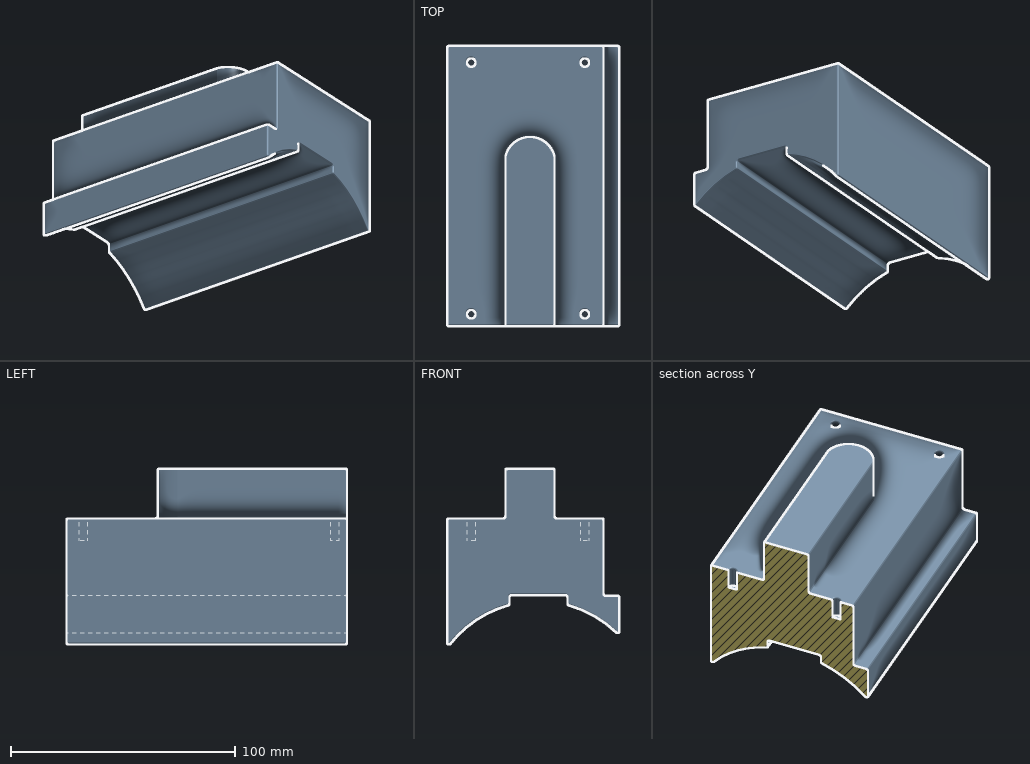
import cadquery as cq
import math

LENGTH = 125.0
WIDTH = 76.74
HEIGHT = 78.42
EDGE_RADIUS = 0.85

BODY_WIDTH = 69.7
BODY_TOP = 56.25
LEDGE_TOP = 21.8

SADDLE_RADIUS = 50.0
SADDLE_X = 40.7
GROOVE_WIDTH = 25.8
GROOVE_TOP = 21.9

BLOCK_WIDTH = 22.0
BLOCK_X = 36.9
BLOCK_STRAIGHT = 75.5
BLOCK_END = 84.4

NOSE_SEAM_RADIUS = 0.1

HOLE_DIAMETER = 3.8
HOLE_DEPTH = 10.0
HOLE_X = (10.75, 61.35)
HOLE_FRONT_MARGIN = 5.4
HOLE_BACK_MARGIN = 7.5
HOLE_Y = (HOLE_FRONT_MARGIN, LENGTH - HOLE_BACK_MARGIN)

SADDLE_Z = EDGE_RADIUS - math.sqrt((SADDLE_RADIUS + EDGE_RADIUS) ** 2 - (SADDLE_X - EDGE_RADIUS) ** 2)


def saddle_height(x):
    """Height of the saddle surface above the base level."""
    return SADDLE_Z + math.sqrt(SADDLE_RADIUS**2 - (x - SADDLE_X) ** 2)


def make_body():
    """Constant section run along Y, with sharp edges."""
    groove_left = SADDLE_X - GROOVE_WIDTH / 2
    groove_right = SADDLE_X + GROOVE_WIDTH / 2

    def saddle_arc(sketch, x_start, x_end):
        x_mid = (x_start + x_end) / 2
        return sketch.threePointArc((x_mid, saddle_height(x_mid)), (x_end, saddle_height(x_end)))

    section = cq.Workplane("XZ").moveTo(0, BODY_TOP).lineTo(0, saddle_height(0))
    section = saddle_arc(section, 0, groove_left)
    section = section.lineTo(groove_left, GROOVE_TOP).lineTo(groove_right, GROOVE_TOP)
    section = section.lineTo(groove_right, saddle_height(groove_right))
    section = saddle_arc(section, groove_right, WIDTH)
    section = section.lineTo(WIDTH, LEDGE_TOP).lineTo(BODY_WIDTH, LEDGE_TOP).lineTo(BODY_WIDTH, BODY_TOP)
    return section.close().extrude(-LENGTH)


def make_block():
    """Raised block, starting inside the body so that the two fuse cleanly."""
    left = BLOCK_X - BLOCK_WIDTH / 2
    right = BLOCK_X + BLOCK_WIDTH / 2
    outline = cq.Workplane("XY").workplane(offset=BODY_TOP - EDGE_RADIUS).moveTo(left, 0)
    outline = outline.lineTo(right, 0).lineTo(right, BLOCK_STRAIGHT)
    outline = outline.threePointArc((BLOCK_X, BLOCK_END), (left, BLOCK_STRAIGHT)).close()
    block = outline.extrude(HEIGHT - BODY_TOP + EDGE_RADIUS)
    return block.edges("|Z").edges(">Y").fillet(NOSE_SEAM_RADIUS)


def round_edges(part):
    """Round every edge except the already softened upright seams of the block's nose."""

    def is_seam(edge):
        center = edge.Center()
        on_block_side = BODY_TOP + EDGE_RADIUS < center.z < HEIGHT - EDGE_RADIUS
        return on_block_side and center.y > BLOCK_STRAIGHT / 2

    sharp_edges = [edge for edge in part.edges().vals() if not is_seam(edge)]
    return part.newObject(sharp_edges).fillet(EDGE_RADIUS)


def make_hole():
    """Blind screw hole at the origin, opening upward through a rounded mouth at Z = 0."""
    radius = HOLE_DIAMETER / 2
    mouth_radius = radius + EDGE_RADIUS
    diagonal = EDGE_RADIUS * math.sqrt(0.5)
    profile = cq.Workplane("XZ").lineTo(mouth_radius, 0)
    profile = profile.threePointArc((mouth_radius - diagonal, diagonal - EDGE_RADIUS), (radius, -EDGE_RADIUS))
    profile = profile.lineTo(radius, -HOLE_DEPTH).lineTo(0, -HOLE_DEPTH).close()
    return profile.revolve(360, (0, 0, 0), (0, 1, 0))


def drill_holes(part):
    """Sink the four screw holes into the top of the body."""
    hole = make_hole()
    for x in HOLE_X:
        for y in HOLE_Y:
            part = part.cut(hole.translate((x, y, BODY_TOP)))
    return part


result = drill_holes(round_edges(make_body().union(make_block())))